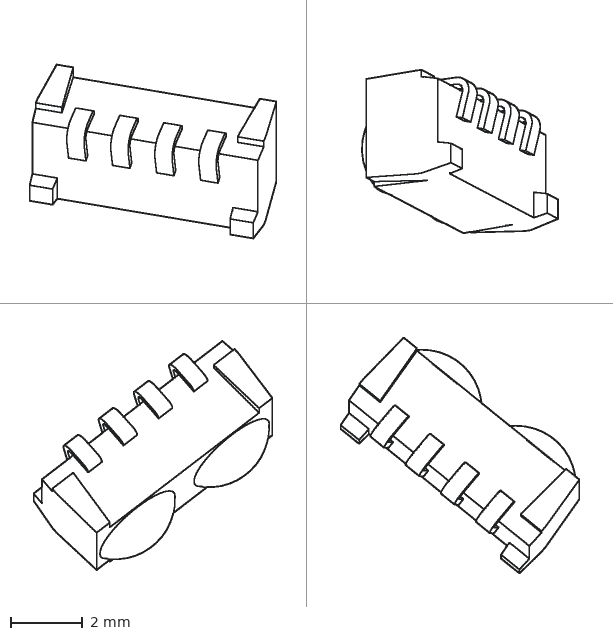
import cadquery as cq
import math

length = 6.6
height = 3.0
rear_y = 1.81
front_y = -0.495
foot_y = -0.9
straight_depth = 0.2
front_end_draft = 4.0
rear_end_inset = 0.12
front_draft = 12.5
rear_draft = 5.0

ear_inner_x = 2.54
ear_inner_rear_x = 2.7
foot_height = 0.85

lens_spacing = 3.405
lens_z = 1.215
lens_rise = 0.69
lens_base_radius = 1.36
lens_radius = (lens_base_radius**2 + lens_rise**2) / (2 * lens_rise)
lens_tip_y = rear_y + lens_rise

lead_count = 4
lead_pitch = 1.275
lead_width = 0.5
lead_thickness = 0.2
lead_tail = 0.2
bend_radius = 0.395
bend_y = foot_y + bend_radius
leg_angle = math.radians(15)
leg_length = 0.725

half_length = length / 2
deck_z = height - lead_thickness


def drop(distance, degrees):
    """Offset of a drafted face over a given distance."""
    return distance * math.tan(math.radians(degrees))


def side_profile(points, half_width):
    """Extrude a Y-Z outline symmetrically about X = 0."""
    return cq.Workplane("YZ").polyline(points).close().extrude(half_width, both=True)


def mirrored_plan(points):
    """Extrude an X-Y outline, mirrored about X = 0, through the full height."""
    mirror = [(-x, y) for x, y in reversed(points)]
    return cq.Workplane("XY").polyline(points + mirror).close().extrude(height)


recess_rear_z = deck_z - drop(rear_y, rear_draft)


def underside_z(y):
    """Height of the drafted underside, extended behind the rear face for the lenses."""
    return drop(y - straight_depth, rear_draft)


def make_middle():
    """Full-height wedge between the two ears."""
    return mirrored_plan([(ear_inner_x, 0), (ear_inner_rear_x, rear_y)])


def make_end_walls():
    """Plan shape of the housing, which drafts both end walls."""
    return mirrored_plan([
        (half_length - drop(-foot_y, front_end_draft), foot_y),
        (half_length, 0),
        (half_length, straight_depth),
        (half_length - rear_end_inset, rear_y),
    ])


def make_core():
    """Drafted block whose foot ridge spans the whole length."""
    profile = side_profile([
        (foot_y, drop(-foot_y, front_draft)),
        (0, 0),
        (straight_depth, 0),
        (rear_y, underside_z(rear_y)),
        (rear_y, recess_rear_z),
        (0, deck_z),
        (front_y, deck_z - drop(-front_y, front_draft)),
        (front_y, foot_height),
        (foot_y, foot_height - drop(front_y - foot_y, front_draft)),
    ], half_length)
    return profile.intersect(make_end_walls())


def make_ears():
    """Flat-topped ears at both ends, rising beside the sloped recess floor."""
    profile = side_profile([
        (0, deck_z),
        (0, height),
        (rear_y, height),
        (rear_y, recess_rear_z),
    ], half_length)
    return profile.intersect(make_end_walls()).cut(make_middle())


def make_pad():
    """Flat pad under the middle of the drafted underside."""
    pad = side_profile([
        (straight_depth, 0),
        (rear_y, 0),
        (rear_y, underside_z(rear_y)),
    ], half_length)
    return pad.intersect(make_middle())


def make_foot_gap():
    """Space between the feet, widening toward their tips."""
    tip_x = ear_inner_x + drop(front_y - foot_y, front_end_draft)
    return mirrored_plan([(tip_x, foot_y), (ear_inner_x, front_y)])


def make_lens(x):
    """Spherical cap trimmed by the drafted underside plane."""
    sphere = cq.Workplane("XY").sphere(lens_radius)
    sphere = sphere.translate((x, lens_tip_y - lens_radius, lens_z))
    keep = side_profile([
        (rear_y, underside_z(rear_y)),
        (lens_tip_y, underside_z(lens_tip_y)),
        (lens_tip_y, height),
        (rear_y, height),
    ], half_length)
    return sphere.intersect(keep)


def make_housing():
    housing = make_core().union(make_ears()).union(make_pad()).cut(make_foot_gap())
    for side in (-1, 1):
        housing = housing.union(make_lens(side * lens_spacing / 2))
    return housing


def make_lead(x):
    """Strip lead: rounded tail, flat run, bend, and a leg leaning back to the front face."""
    bend_z = height - bend_radius
    inner_radius = bend_radius - lead_thickness
    tail_z = deck_z - drop(lead_tail, rear_draft)

    def bend_point(radius, angle):
        return (bend_y - radius * math.cos(angle), bend_z + radius * math.sin(angle))

    def leg_end(radius):
        y, z = bend_point(radius, -leg_angle)
        return (y + leg_length * math.sin(leg_angle), z - leg_length * math.cos(leg_angle))

    middle_angle = (math.pi / 2 - leg_angle) / 2
    tail_middle = (lead_tail * math.sin(math.pi / 4), deck_z + lead_thickness * math.sin(math.pi / 4))
    return (
        cq.Workplane("YZ", origin=(x - lead_width / 2, 0, 0))
        .moveTo(lead_tail, tail_z)
        .threePointArc(tail_middle, (0, height))
        .lineTo(bend_y, height)
        .threePointArc(bend_point(bend_radius, middle_angle), bend_point(bend_radius, -leg_angle))
        .lineTo(*leg_end(bend_radius))
        .lineTo(*leg_end(inner_radius))
        .lineTo(*bend_point(inner_radius, -leg_angle))
        .threePointArc(bend_point(inner_radius, middle_angle), (bend_y, deck_z))
        .lineTo(0, deck_z)
        .close()
        .extrude(lead_width)
    )


housing = make_housing()
leads = [make_lead((i - (lead_count - 1) / 2) * lead_pitch) for i in range(lead_count)]

result = cq.Compound.makeCompound([housing.solids().val(), *[lead.val() for lead in leads]])